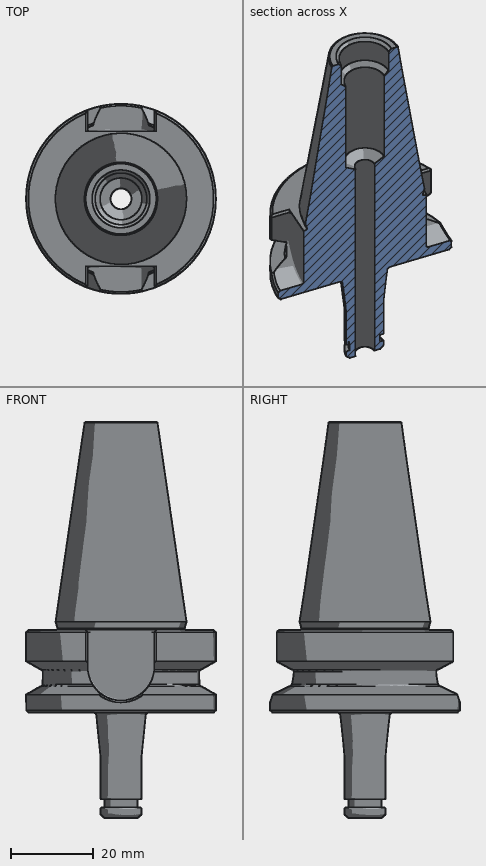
import cadquery as cq
import math


taper_length = 48.4
gauge_radius = 31.75 / 2
taper_ratio = 7 / 24
taper_tip_radius = gauge_radius - taper_length * taper_ratio / 2
tip_chamfer = 0.3
relief_radius = 15.4
relief_fillet = 0.4

flange_radius = 46 / 2
flange_top = -2.0
flange_bottom = -22.0
flange_edge = 0.6
groove_center = -13.6
groove_mouth = 8.1
groove_floor_radius = 19.0
groove_fillet = 0.5
groove_flank_radius = groove_floor_radius + groove_fillet
groove_flank_angle = math.radians(30)
groove_flank_height = (flange_radius - groove_flank_radius) * math.tan(groove_flank_angle)
groove_floor_half = groove_mouth / 2 - groove_flank_height

nose_bottom = -47.5
nose_radius = 10 / 2
nose_cone_top_radius = 12.0 / 2
nose_cone_bottom = -32.6
root_fillet = 0.7
neck_radius = 8.1 / 2
neck_top = -42.95
neck_bottom = -44.9
shoulder_fillet = 0.3
collar_fillet = 0.5
nose_end_chamfer_width = 1.0
nose_end_chamfer_height = 0.85
nose_end_fillet = 0.6

counterbore_radius = 12.5 / 2
counterbore_depth = 6.8
mouth_radius = 14 / 2
mouth_chamfer = mouth_radius - counterbore_radius
tap_bore_radius = 10.11 / 2
tap_bore_depth = 34.0
drill_half_angle = math.radians(59)
through_radius = 5 / 2

selection_margin = 0.1

slot_floor = 16.3
slot_half_width = 16.1 / 2
slot_arc_center = -11.0
slot_floor_fillet = 0.5
slot_edge_chamfer = 0.5


def make_body():
    """Outer turned shape."""
    profile = (
        cq.Workplane("XZ")
        .moveTo(0, taper_length)
        .lineTo(taper_tip_radius - tip_chamfer, taper_length)
        .lineTo(taper_tip_radius + tip_chamfer * taper_ratio / 2, taper_length - tip_chamfer)
        .lineTo(gauge_radius, 0)
        .lineTo(relief_radius, flange_top + relief_fillet)
        .radiusArc((relief_radius + relief_fillet, flange_top), -relief_fillet)
        .lineTo(flange_radius - flange_edge, flange_top)
        .lineTo(flange_radius, flange_top - flange_edge)
        .lineTo(flange_radius, groove_center + groove_mouth / 2)
        .lineTo(groove_flank_radius, groove_center + groove_floor_half)
        .radiusArc((groove_floor_radius, groove_center + groove_floor_half - groove_fillet), -groove_fillet)
        .lineTo(groove_floor_radius, groove_center - groove_floor_half + groove_fillet)
        .radiusArc((groove_flank_radius, groove_center - groove_floor_half), -groove_fillet)
        .lineTo(flange_radius, groove_center - groove_mouth / 2)
        .lineTo(flange_radius, flange_bottom + flange_edge)
        .lineTo(flange_radius - flange_edge, flange_bottom)
        .lineTo(nose_cone_top_radius + root_fillet, flange_bottom)
        .radiusArc((nose_cone_top_radius, flange_bottom - root_fillet), -root_fillet)
        .lineTo(nose_radius, nose_cone_bottom)
        .lineTo(nose_radius, neck_top + shoulder_fillet)
        .radiusArc((nose_radius - shoulder_fillet, neck_top), shoulder_fillet)
        .lineTo(neck_radius, neck_top)
        .lineTo(neck_radius, neck_bottom)
        .lineTo(nose_radius - collar_fillet, neck_bottom)
        .radiusArc((nose_radius, neck_bottom - collar_fillet), collar_fillet)
        .lineTo(nose_radius, nose_bottom + nose_end_chamfer_height)
        .lineTo(nose_radius - nose_end_chamfer_width, nose_bottom)
        .lineTo(0, nose_bottom)
        .close()
    )
    body = profile.revolve(360, (0, 0), (0, 1))
    corner_height = nose_bottom + nose_end_chamfer_height
    nose_corner = cq.selectors.BoxSelector(
        (-flange_radius, -flange_radius, corner_height - selection_margin),
        (flange_radius, flange_radius, corner_height + selection_margin),
        boundingbox=True,
    )
    return body.edges(nose_corner).fillet(nose_end_fillet)


def make_bore():
    """Stepped bore cutter: countersunk mouth, counterbore, tap bore with drill point, through hole."""
    counterbore_bottom = taper_length - counterbore_depth
    cone_start = counterbore_bottom - (counterbore_radius - tap_bore_radius)
    drill_start = taper_length - tap_bore_depth
    drill_end = drill_start - (tap_bore_radius - through_radius) / math.tan(drill_half_angle)
    return (
        cq.Workplane("XZ")
        .moveTo(0, taper_length)
        .lineTo(mouth_radius, taper_length)
        .lineTo(counterbore_radius, taper_length - mouth_chamfer)
        .lineTo(counterbore_radius, counterbore_bottom)
        .lineTo(tap_bore_radius, cone_start)
        .lineTo(tap_bore_radius, drill_start)
        .lineTo(through_radius, drill_end)
        .lineTo(through_radius, nose_bottom)
        .lineTo(0, nose_bottom)
        .close()
        .revolve(360, (0, 0), (0, 1))
    )


def make_slot():
    """Round-bottomed slot cutter on the -Y side, open upward."""
    cutter = (
        cq.Workplane("XZ", origin=(0, -slot_floor, 0))
        .moveTo(-slot_half_width, 0)
        .lineTo(-slot_half_width, slot_arc_center)
        .threePointArc((0, slot_arc_center - slot_half_width), (slot_half_width, slot_arc_center))
        .lineTo(slot_half_width, 0)
        .close()
        .extrude(flange_radius)
    )
    floor_rim = cutter.faces(">Y").edges("not >Z")
    return floor_rim.fillet(slot_floor_fillet)


def make_top_bevel():
    """Wedge cutter that bevels the upper edges of the -Y slot walls and leaves the slot floor untouched."""
    bevel_bottom = flange_top - slot_edge_chamfer
    bevel_half_width = slot_half_width + slot_edge_chamfer
    return (
        cq.Workplane("XZ", origin=(0, -slot_floor, 0))
        .moveTo(slot_half_width - slot_floor_fillet, bevel_bottom)
        .lineTo(slot_half_width, bevel_bottom)
        .lineTo(bevel_half_width, flange_top)
        .lineTo(slot_half_width - slot_floor_fillet, flange_top)
        .close()
        .extrude(flange_radius)
    )


def rim_edges(side):
    """Edges where the slot on the given side (-1 or 1 along Y) cuts the cylindrical rim of the flange."""
    rim_y = math.sqrt(flange_radius**2 - slot_half_width**2)
    near, far = sorted((side * (rim_y - selection_margin), side * (flange_radius + selection_margin)))
    wall_reach = slot_half_width + selection_margin
    wall_top = flange_top - flange_edge
    wall_bottom = groove_center + groove_mouth / 2
    slot_bottom = slot_arc_center - slot_half_width
    wall_box = cq.selectors.BoxSelector(
        (-wall_reach, near, wall_bottom), (wall_reach, far, wall_top)
    )
    bottom_box = cq.selectors.BoxSelector(
        (-selection_margin, near, slot_bottom), (selection_margin, far, groove_center - groove_mouth / 2)
    )
    return wall_box + bottom_box


def cut_drive_slots(body):
    """Cut both slots, bevel their rim edges, then bevel their top edges."""
    slot_cut = make_slot()
    bevel = make_top_bevel()
    bevels = bevel.union(bevel.mirror("YZ"))
    for angle in (0, 180):
        body = body.cut(slot_cut.rotate((0, 0, 0), (0, 0, 1), angle))
    body = body.edges(rim_edges(-1) + rim_edges(1)).chamfer(slot_edge_chamfer)
    for angle in (0, 180):
        body = body.cut(bevels.rotate((0, 0, 0), (0, 0, 1), angle))
    return body


result = cut_drive_slots(make_body().cut(make_bore()))